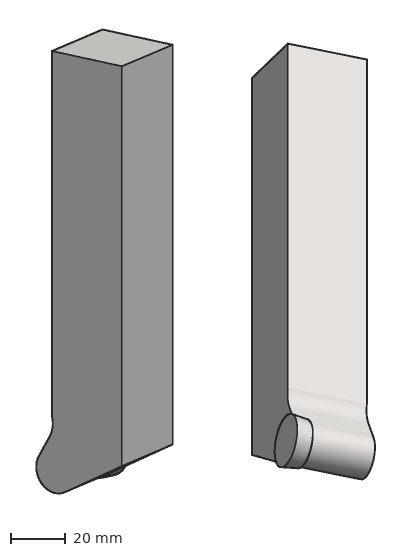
import cadquery as cq
import math

TOTAL_LENGTH = 171.3
TOTAL_WIDTH = 40.3
TOTAL_DEPTH = 32.0
SHANK_WIDTH = 31.7
FACE_STEP = 0.2
INSERT_DIAMETER = 20.0
INSERT_THICKNESS = 6.7
RELIEF_ANGLE = 7.0
NOSE_RADIUS = 8.5
NOSE_MIDDLE_ANGLE = 225.0
NECK_TILT = 30.0
NECK_LENGTH = 9.6
SIDE_TAPER = 0.2
BLEND_HEIGHT = 8.2

insert_radius = INSERT_DIAMETER / 2
insert_back_radius = insert_radius - INSERT_THICKNESS * math.tan(math.radians(RELIEF_ANGLE))
shank_right = TOTAL_WIDTH - insert_radius
shank_left = shank_right - SHANK_WIDTH
shank_top = TOTAL_LENGTH - insert_radius
shank_front = -TOTAL_DEPTH
shank_depth = TOTAL_DEPTH - FACE_STEP
tilt_sin = math.sin(math.radians(NECK_TILT))
tilt_cos = math.cos(math.radians(NECK_TILT))


def make_insert():
    """Round insert tapering from its cutting face at Y = 0 to a smaller back face."""
    profile = [
        (0, 0),
        (insert_radius, 0),
        (insert_back_radius, -INSERT_THICKNESS),
        (0, -INSERT_THICKNESS),
    ]
    return cq.Workplane("XY").polyline(profile).close().revolve(360, (0, 0), (0, 1))


def make_side_wedge():
    """Thin wedge whose removal slopes the right side of the shank inward toward the front."""
    profile = [
        (shank_right, -FACE_STEP),
        (shank_right, shank_front),
        (shank_right - SIDE_TAPER, shank_front),
    ]
    return (
        cq.Workplane("XY", origin=(0, 0, -insert_radius))
        .polyline(profile)
        .close()
        .extrude(TOTAL_LENGTH)
    )


def make_holder(seated_insert):
    """Square shank with a tilted round nose, recessed to seat the insert."""
    nose_start = (NOSE_RADIUS * tilt_sin, -NOSE_RADIUS * tilt_cos)
    nose_middle_angle = math.radians(NOSE_MIDDLE_ANGLE)
    nose_middle = (
        NOSE_RADIUS * math.cos(nose_middle_angle),
        NOSE_RADIUS * math.sin(nose_middle_angle),
    )
    nose_end = (-NOSE_RADIUS * tilt_cos, NOSE_RADIUS * tilt_sin)
    neck_end = (nose_end[0] + NECK_LENGTH * tilt_sin, nose_end[1] + NECK_LENGTH * tilt_cos)
    blend_end = (shank_left, neck_end[1] + BLEND_HEIGHT)
    underside_rise = (shank_right - nose_start[0]) * tilt_sin / tilt_cos
    heel = (shank_right, nose_start[1] + underside_rise)

    body = (
        cq.Workplane("XZ", origin=(0, shank_front, 0))
        .moveTo(*heel)
        .lineTo(*nose_start)
        .threePointArc(nose_middle, nose_end)
        .lineTo(*neck_end)
        .tangentArcPoint(blend_end, relative=False)
        .lineTo(shank_left, shank_top)
        .lineTo(shank_right, shank_top)
        .close()
        .extrude(-shank_depth)
    )
    tapered_body = body.cut(make_side_wedge())
    return tapered_body.cut(seated_insert)


insert = make_insert()
holder = make_holder(insert)

result = cq.Compound.makeCompound([holder.solids().val(), insert.val()])